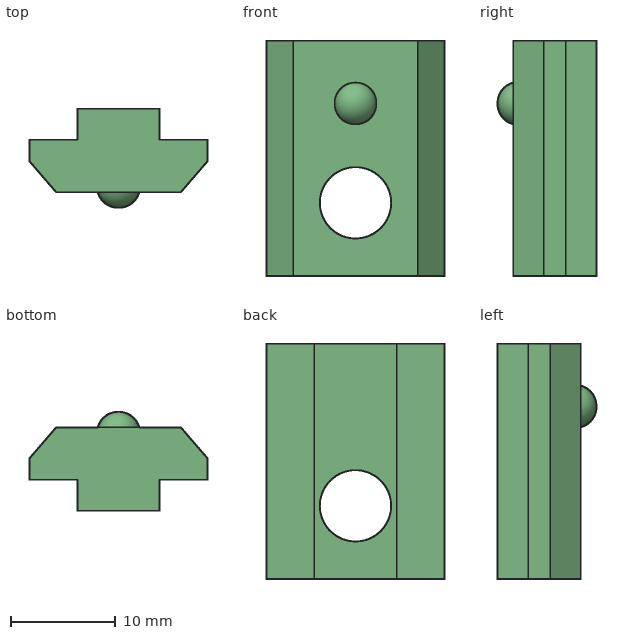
import cadquery as cq

length = 22.5
width = 17.0
total_depth = 9.5
ball_height = 1.5
body_depth = total_depth - ball_height

rib_width = 7.88
rib_depth = 2.97
side_depth = 2.07
bevel_width = 2.55

bore_diameter = 6.8
bore_z = 7.0
ball_opening_diameter = 4.0
ball_z = 16.5

shoulder_y = body_depth - rib_depth
bevel_y = shoulder_y - side_depth


def make_body():
    """Extrude the T-shaped section with its two bevelled edges."""
    half_width = width / 2
    half_rib = rib_width / 2
    half_face = half_width - bevel_width
    right_side = [
        (half_face, 0),
        (half_width, bevel_y),
        (half_width, shoulder_y),
        (half_rib, shoulder_y),
        (half_rib, body_depth),
    ]
    left_side = [(-x, y) for x, y in reversed(right_side)]
    return cq.Workplane("XY").polyline(right_side + left_side).close().extrude(length)


def make_bore():
    """Cylinder running through the full depth of the body."""
    return (
        cq.Workplane("XZ", origin=(0, body_depth, bore_z))
        .circle(bore_diameter / 2)
        .extrude(body_depth)
    )


def make_ball():
    """Sphere whose cap stands ball_height proud of the flat face."""
    opening_radius = ball_opening_diameter / 2
    radius = (opening_radius**2 + ball_height**2) / (2 * ball_height)
    return cq.Workplane("XY", origin=(0, radius - ball_height, ball_z)).sphere(radius)


result = make_body().cut(make_bore()).union(make_ball())